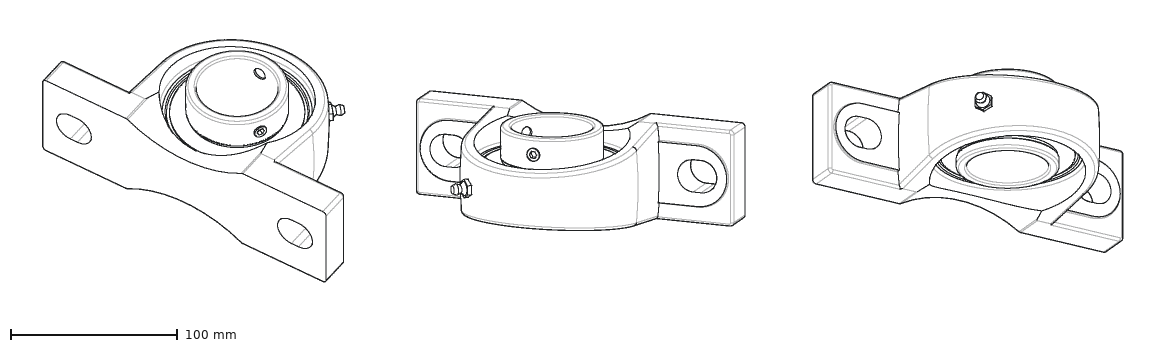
import cadquery as cq
import math


FOOT_LENGTH = 204.0
FOOT_WIDTH = 59.5
FOOT_THICKNESS = 20.2
FOOT_CORNER_RADIUS = 2.5
FOOT_TOP_EDGE_RADIUS = 1.6

WAIST_HALF_WIDTH = 18.2
WAIST_RADIUS = 79.5
WAIST_CORNER_RADIUS = 2.0

SLOT_SPACING = 159.1
SLOT_LENGTH = 25.0
SLOT_WIDTH = 20.0
PAD_HEIGHT = 1.6
PAD_RADIUS = 19.0
PAD_FOOT_RADIUS = 0.6

AXIS_HEIGHT = 57.1
SHELL_RADIUS = 55.3
SHELL_CROWN_RADIUS = 244.8
SHELL_TAPER_ANGLE = 8.0
SHELL_EDGE_RADIUS = 2.5
OPENING_DIAMETER = 93.6
OPENING_FLOOR_RADIUS = 1.6

OUTER_RING_DIAMETER = 90.0
OUTER_RING_WIDTH = 22.0
FACE_RECESS_DIAMETER = 86.5
FACE_RECESS_FLOOR_DIAMETER = 84.9
FACE_RECESS_DEPTH = 1.0

SEAL_DIAMETER = 81.2
SEAL_THICKNESS = 2.0

COLLAR_DIAMETER = 61.8
COLLAR_TOP = 32.6
INNER_RING_BOTTOM = -19.0
BORE_DIAMETER = 49.2
COLLAR_EDGE_RADIUS = 1.5
BORE_EDGE_RADIUS = 1.2
NECK_DIAMETER = 60.4
NECK_HALF_WIDTH = 13.0

SCREW_DIAMETER = 8.0
SCREW_ANGLES = (90.0, -30.0)
SCREW_DEPTH_BELOW_COLLAR_TOP = 10.0
SCREW_INNER_RADIUS = 25.7
SCREW_OUTER_RADIUS = 31.8
SOCKET_ACROSS_FLATS = 4.0
SOCKET_DEPTH = 3.0

NIPPLE_ANGLE = 45.0
NIPPLE_BASE_LEVEL = 53.0
NIPPLE_SHOULDER_LEVEL = 57.7
NIPPLE_NECK_LEVEL = 60.2
NIPPLE_HEAD_LEVEL = 62.8
NIPPLE_TIP_LEVEL = 65.3
NIPPLE_HEX_ACROSS_FLATS = 10.0
NIPPLE_SHOULDER_RADIUS = 4.3
NIPPLE_NECK_RADIUS = 2.5
NIPPLE_HEAD_RADIUS = 3.5
NIPPLE_TIP_RADIUS = 2.5

foot_half_width = FOOT_WIDTH / 2
ring_half_width = OUTER_RING_WIDTH / 2
shell_top = AXIS_HEIGHT + SHELL_RADIUS
screw_level = COLLAR_TOP - SCREW_DEPTH_BELOW_COLLAR_TOP


def disc(radius, z_bottom, z_top):
    """Cylinder on the bearing axis between two Z levels."""
    return (
        cq.Workplane("XY", origin=(0, AXIS_HEIGHT, z_bottom))
        .circle(radius)
        .extrude(z_top - z_bottom)
    )


def revolve_on_axis(profile_points):
    """Solid of revolution about the bearing axis from (radius, Z) points."""
    return (
        cq.Workplane("XZ", origin=(0, AXIS_HEIGHT, 0))
        .polyline(profile_points)
        .close()
        .revolve(360, (0, 0, 0), (0, 1, 0))
    )


def radial_plane(angle, distance, z):
    """Plane facing outward from the bearing axis at an angle from +X."""
    direction = (math.cos(math.radians(angle)), math.sin(math.radians(angle)), 0)
    origin = (distance * direction[0], AXIS_HEIGHT + distance * direction[1], z)
    return cq.Plane(origin=origin, xDir=(0, 0, 1), normal=direction)


def waisted_prism(height):
    """Foot outline with its two waist notches, raised from Y = 0."""
    half_length = FOOT_LENGTH / 2
    notch_rise = WAIST_HALF_WIDTH + WAIST_RADIUS - foot_half_width
    notch_half_length = math.sqrt(WAIST_RADIUS**2 - notch_rise**2)
    prism = (
        cq.Workplane("XZ")
        .moveTo(-half_length, -foot_half_width)
        .lineTo(-notch_half_length, -foot_half_width)
        .threePointArc((0, -WAIST_HALF_WIDTH), (notch_half_length, -foot_half_width))
        .lineTo(half_length, -foot_half_width)
        .lineTo(half_length, foot_half_width)
        .lineTo(notch_half_length, foot_half_width)
        .threePointArc((0, WAIST_HALF_WIDTH), (-notch_half_length, foot_half_width))
        .lineTo(-half_length, foot_half_width)
        .close()
        .extrude(-height)
    )
    waist_corners = cq.selectors.BoxSelector(
        (-notch_half_length - 2, -2, -FOOT_WIDTH), (notch_half_length + 2, height + 2, FOOT_WIDTH)
    )
    prism = prism.edges("|Y").edges(waist_corners).fillet(WAIST_CORNER_RADIUS)
    return prism.edges("|Y").edges("<X or >X").fillet(FOOT_CORNER_RADIUS)


def make_pad(side):
    """Raised pad around a slot: round outer end, inner end buried in the shell."""
    outer_end = SLOT_SPACING / 2 + PAD_RADIUS
    inner_end = SHELL_RADIUS - PAD_RADIUS
    return (
        cq.Workplane("XZ", origin=(side * (outer_end + inner_end) / 2, FOOT_THICKNESS, 0))
        .slot2D(outer_end - inner_end, 2 * PAD_RADIUS)
        .extrude(-PAD_HEIGHT)
    )


def make_foot():
    """Foot plate with rounded top edges and a raised pad at each end."""
    foot = waisted_prism(FOOT_THICKNESS).faces(">Y").edges().fillet(FOOT_TOP_EDGE_RADIUS)
    for side in (-1, 1):
        foot = foot.union(make_pad(side))
    pad_end = SLOT_SPACING / 2 + PAD_RADIUS
    margin = PAD_FOOT_RADIUS / 2
    pad_foot_edges = cq.selectors.BoxSelector(
        (-pad_end, FOOT_THICKNESS - margin, -PAD_RADIUS - margin),
        (pad_end, FOOT_THICKNESS + margin, PAD_RADIUS + margin),
    )
    return foot.edges(pad_foot_edges).fillet(PAD_FOOT_RADIUS)


def make_shell():
    """Round-topped shell around the bearing: crowned sides, tapered towards the top."""
    half_width = foot_half_width + 2
    crown_drop = SHELL_CROWN_RADIUS - math.sqrt(SHELL_CROWN_RADIUS**2 - half_width**2)
    edge_radius = SHELL_RADIUS - crown_drop
    foot_overlap = FOOT_THICKNESS - FOOT_TOP_EDGE_RADIUS

    barrel = (
        cq.Workplane("XZ", origin=(0, AXIS_HEIGHT, 0))
        .moveTo(0, -half_width)
        .lineTo(edge_radius, -half_width)
        .threePointArc((SHELL_RADIUS, 0), (edge_radius, half_width))
        .lineTo(0, half_width)
        .close()
        .revolve(360, (0, 0, 0), (0, 1, 0))
    )
    legs = (
        cq.Workplane("XZ", origin=(0, AXIS_HEIGHT, 0))
        .moveTo(-edge_radius, -half_width)
        .lineTo(edge_radius, -half_width)
        .threePointArc((SHELL_RADIUS, 0), (edge_radius, half_width))
        .lineTo(-edge_radius, half_width)
        .threePointArc((-SHELL_RADIUS, 0), (-edge_radius, -half_width))
        .close()
        .extrude(AXIS_HEIGHT - foot_overlap)
    )
    taper_drop = (shell_top - FOOT_THICKNESS) * math.tan(math.radians(SHELL_TAPER_ANGLE))
    taper = (
        cq.Workplane("YZ", origin=(-FOOT_LENGTH / 2, 0, 0))
        .polyline(
            [
                (foot_overlap, -foot_half_width),
                (FOOT_THICKNESS, -foot_half_width),
                (shell_top, taper_drop - foot_half_width),
                (shell_top, foot_half_width - taper_drop),
                (FOOT_THICKNESS, foot_half_width),
                (foot_overlap, foot_half_width),
            ]
        )
        .close()
        .extrude(FOOT_LENGTH)
    )
    shell = barrel.union(legs).intersect(taper)
    rim_start = FOOT_THICKNESS + 1.0
    rim_level = foot_half_width / 4
    upper_rim = cq.selectors.BoxSelector(
        (-FOOT_LENGTH, rim_start, rim_level), (FOOT_LENGTH, shell_top, FOOT_WIDTH)
    )
    lower_rim = cq.selectors.BoxSelector(
        (-FOOT_LENGTH, rim_start, -FOOT_WIDTH), (FOOT_LENGTH, shell_top, -rim_level)
    )
    return shell.edges(upper_rim + lower_rim).fillet(SHELL_EDGE_RADIUS)


def make_housing():
    shell = make_shell().intersect(waisted_prism(shell_top))
    housing = make_foot().union(shell)
    slots = (
        cq.Workplane("XZ")
        .pushPoints([(-SLOT_SPACING / 2, 0), (SLOT_SPACING / 2, 0)])
        .slot2D(SLOT_LENGTH, SLOT_WIDTH)
        .extrude(-(FOOT_THICKNESS + PAD_HEIGHT))
    )
    seat = disc(OUTER_RING_DIAMETER / 2, -ring_half_width, ring_half_width)
    upper_opening = (
        disc(OPENING_DIAMETER / 2, ring_half_width, foot_half_width)
        .faces("<Z")
        .edges()
        .fillet(OPENING_FLOOR_RADIUS)
    )
    lower_opening = upper_opening.mirror("XY")
    return housing.cut(slots).cut(seat).cut(upper_opening).cut(lower_opening).cut(nipple)


def make_outer_ring():
    recess_floor = ring_half_width - FACE_RECESS_DEPTH
    upper_half = [
        (SEAL_DIAMETER / 2, recess_floor),
        (FACE_RECESS_FLOOR_DIAMETER / 2, recess_floor),
        (FACE_RECESS_DIAMETER / 2, ring_half_width),
        (OUTER_RING_DIAMETER / 2, ring_half_width),
    ]
    lower_half = [(r, -z) for r, z in reversed(upper_half)]
    return revolve_on_axis(upper_half + lower_half)


def make_seal(z_bottom):
    z_top = z_bottom + SEAL_THICKNESS
    return disc(SEAL_DIAMETER / 2, z_bottom, z_top).cut(disc(NECK_DIAMETER / 2, z_bottom, z_top))


def make_inner_ring():
    """Inner ring with rounded ends, a slightly slimmer neck under the seals and two screw holes."""
    ring = disc(COLLAR_DIAMETER / 2, INNER_RING_BOTTOM, COLLAR_TOP)
    ring = ring.cut(disc(BORE_DIAMETER / 2, INNER_RING_BOTTOM, COLLAR_TOP))
    ring = ring.edges(cq.selectors.RadiusNthSelector(0)).fillet(BORE_EDGE_RADIUS)
    ring = ring.edges(cq.selectors.RadiusNthSelector(-1)).fillet(COLLAR_EDGE_RADIUS)
    undercut = disc(COLLAR_DIAMETER / 2, -NECK_HALF_WIDTH, NECK_HALF_WIDTH)
    ring = ring.cut(undercut.cut(disc(NECK_DIAMETER / 2, -NECK_HALF_WIDTH, NECK_HALF_WIDTH)))
    for angle in SCREW_ANGLES:
        hole = (
            cq.Workplane(radial_plane(angle, 0, screw_level))
            .circle(SCREW_DIAMETER / 2)
            .extrude(COLLAR_DIAMETER)
        )
        ring = ring.cut(hole)
    return ring


def make_set_screw(angle):
    screw = (
        cq.Workplane(radial_plane(angle, SCREW_INNER_RADIUS, screw_level))
        .circle(SCREW_DIAMETER / 2)
        .extrude(SCREW_OUTER_RADIUS - SCREW_INNER_RADIUS)
    )
    socket = (
        cq.Workplane(radial_plane(angle, SCREW_OUTER_RADIUS, screw_level))
        .polygon(6, SOCKET_ACROSS_FLATS, circumscribed=True)
        .extrude(-SOCKET_DEPTH)
    )
    return screw.cut(socket)


def make_nipple():
    """Hexagonal base with a corner towards +Z, and a round head above a narrow neck."""
    base = (
        cq.Workplane(radial_plane(NIPPLE_ANGLE, NIPPLE_BASE_LEVEL, 0))
        .transformed(rotate=(0, 0, 30))
        .polygon(6, NIPPLE_HEX_ACROSS_FLATS, circumscribed=True)
        .extrude(NIPPLE_SHOULDER_LEVEL - NIPPLE_BASE_LEVEL)
    )
    profile = [
        (0, NIPPLE_BASE_LEVEL),
        (NIPPLE_SHOULDER_RADIUS, NIPPLE_BASE_LEVEL),
        (NIPPLE_SHOULDER_RADIUS, NIPPLE_SHOULDER_LEVEL),
        (NIPPLE_NECK_RADIUS, NIPPLE_NECK_LEVEL),
        (NIPPLE_HEAD_RADIUS, NIPPLE_HEAD_LEVEL),
        (NIPPLE_TIP_RADIUS, NIPPLE_TIP_LEVEL),
        (0, NIPPLE_TIP_LEVEL),
    ]
    head = (
        cq.Workplane("XY")
        .polyline(profile)
        .close()
        .revolve(360, (0, 0, 0), (0, 1, 0))
        .rotate((0, 0, 0), (0, 0, 1), NIPPLE_ANGLE - 90)
        .translate((0, AXIS_HEIGHT, 0))
    )
    return base.union(head)



nipple = make_nipple()
housing = make_housing()
outer_ring = make_outer_ring()
inner_ring = make_inner_ring()
seals = [make_seal(z) for z in (ring_half_width - SEAL_THICKNESS, -ring_half_width)]
set_screws = [make_set_screw(angle) for angle in SCREW_ANGLES]

result = cq.Compound.makeCompound(
    [
        housing.val(),
        outer_ring.val(),
        inner_ring.val(),
        *[seal.val() for seal in seals],
        *[screw.val() for screw in set_screws],
        nipple.val(),
    ]
)